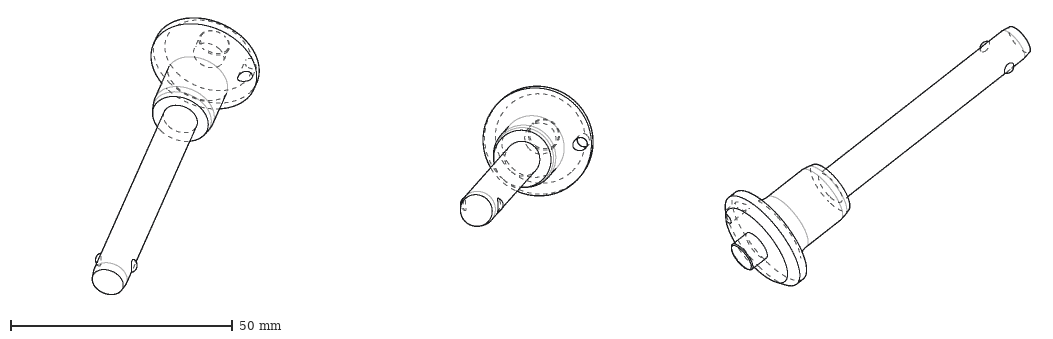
import cadquery as cq

total_length = 85.5

button_radius = 3.6
button_length = 4.7
button_chamfer = 0.25

rim_radius = 12.5
rim_width = 2.1
head_top_radius = 10.35
head_bevel_length = 1.8
collar_radius = 7.2
flare_radius = rim_radius - collar_radius
collar_length = 10.6
collar_taper_radius = 6.9
collar_taper_length = 1.5
collar_end_radius = 6.6
collar_end_length = 1.3

shank_radius = 4.0
tip_radius = 3.7
tip_length = 2.05

ball_radius = 1.6
ball_reach = 4.9
ball_from_tip = 6.9
hole_radius = 1.5
hole_offset = 10.0

button_end = total_length / 2
tip_end = -total_length / 2
head_top = button_end - button_length
rim_top = head_top - head_bevel_length
rim_bottom = rim_top - rim_width
flare_bottom = rim_bottom - flare_radius
collar_bottom = flare_bottom - collar_length
taper_bottom = collar_bottom - collar_taper_length
handle_bottom = taper_bottom - collar_end_length
tip_start = tip_end + tip_length


def turned_body():
    """Button, handle and shank as one revolved half profile."""
    profile = (
        cq.Workplane("XY")
        .moveTo(0, button_end)
        .lineTo(button_radius - button_chamfer, button_end)
        .lineTo(button_radius, button_end - button_chamfer)
        .lineTo(button_radius, head_top)
        .lineTo(head_top_radius, head_top)
        .lineTo(rim_radius, rim_top)
        .lineTo(rim_radius, rim_bottom)
        .radiusArc((collar_radius, flare_bottom), -flare_radius)
        .lineTo(collar_radius, collar_bottom)
        .lineTo(collar_taper_radius, taper_bottom)
        .lineTo(collar_end_radius, handle_bottom)
        .lineTo(shank_radius, handle_bottom)
        .lineTo(shank_radius, tip_start)
        .lineTo(tip_radius, tip_end)
        .lineTo(0, tip_end)
        .close()
    )
    return profile.revolve(360, (0, 0, 0), (0, 1, 0))


def locking_ball(side):
    """Ball protruding from the shank on the +X (1) or -X (-1) side."""
    center = (side * (ball_reach - ball_radius), tip_end + ball_from_tip, 0)
    return cq.Workplane("XY").sphere(ball_radius).translate(center)


def lanyard_hole():
    """Cutter passing through the flange parallel to the pin axis."""
    return (
        cq.Workplane("XZ", origin=(hole_offset, head_top, 0))
        .circle(hole_radius)
        .extrude(head_top - flare_bottom)
    )


result = turned_body().cut(lanyard_hole())
for side in (-1, 1):
    result = result.union(locking_ball(side))